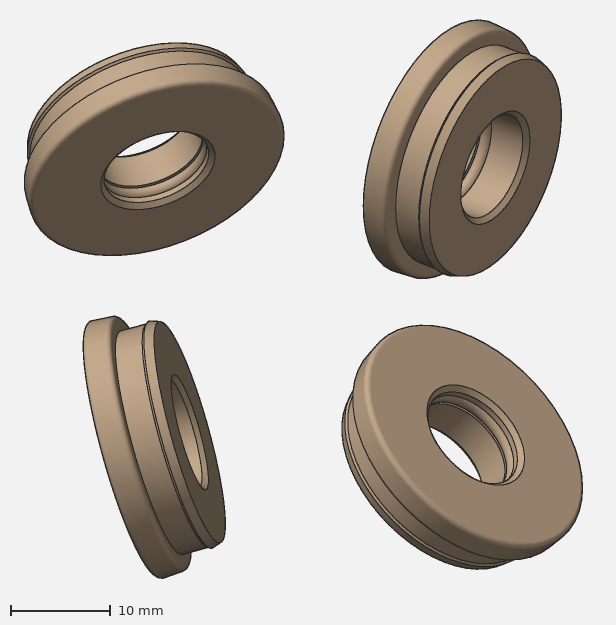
import cadquery as cq
import math

length = 7.0
outer_radius = 13.4

plug_length = 4.02
plug_radius = 11.63
plug_tip_radius = 11.5
ridge_radius = 11.82
ridge_start = 0.96
ridge_end = 1.2

flange_draft = 4.0
rim_round = 0.5

bore_radius = 5.5
bore_chamfer = 0.5
groove_start = 4.35
groove_width = 1.5

ring_section_radius = groove_width / 2
ring_inner_radius = 5.33
ring_center_x = groove_start + groove_width / 2
ring_center_radius = ring_inner_radius + ring_section_radius
groove_radius = ring_center_radius + ring_section_radius


def revolve_about_x(profile):
    """Revolve a profile drawn as (x, radius) into a full solid."""
    return profile.revolve(360, (0, 0, 0), (1, 0, 0))


def make_plug():
    points = [
        (0, 0),
        (0, plug_tip_radius),
        (ridge_start, ridge_radius),
        (ridge_end, plug_radius),
        (plug_length, plug_radius),
        (plug_length, 0),
    ]
    return revolve_about_x(cq.Workplane("XY").polyline(points).close())


def make_flange():
    """Disc that widens toward +X, reaching outer_radius where the far round is widest."""
    draft = math.radians(flange_draft)
    round_center_x = length - rim_round
    round_center_radius = outer_radius - rim_round

    def wall_radius(x):
        wall_offset = rim_round / math.cos(draft)
        return round_center_radius + wall_offset + (x - round_center_x) * math.tan(draft)

    points = [
        (plug_length, 0),
        (plug_length, wall_radius(plug_length)),
        (length, wall_radius(length)),
        (length, 0),
    ]
    flange = revolve_about_x(cq.Workplane("XY").polyline(points).close())
    return flange.faces("|X").edges().fillet(rim_round)


def make_bore():
    mouth_radius = bore_radius + bore_chamfer
    points = [
        (0, 0),
        (0, mouth_radius),
        (bore_chamfer, bore_radius),
        (length - bore_chamfer, bore_radius),
        (length, mouth_radius),
        (length, 0),
    ]
    return revolve_about_x(cq.Workplane("XY").polyline(points).close())


def make_groove():
    profile = cq.Workplane("XY").moveTo(groove_start, 0).rect(groove_width, groove_radius, centered=False)
    return revolve_about_x(profile)


def make_housing():
    return make_plug().union(make_flange()).cut(make_bore()).cut(make_groove())


def make_seal_ring():
    profile = cq.Workplane("XY").center(ring_center_x, ring_center_radius).circle(ring_section_radius)
    axis_start = (-ring_center_x, -ring_center_radius, 0)
    axis_end = (0.27 - ring_center_x, -ring_center_radius, 0)
    return profile.revolve(360, axis_start, axis_end)


housing = make_housing()
seal_ring = make_seal_ring()
result = cq.Compound.makeCompound([housing.val(), seal_ring.val()])